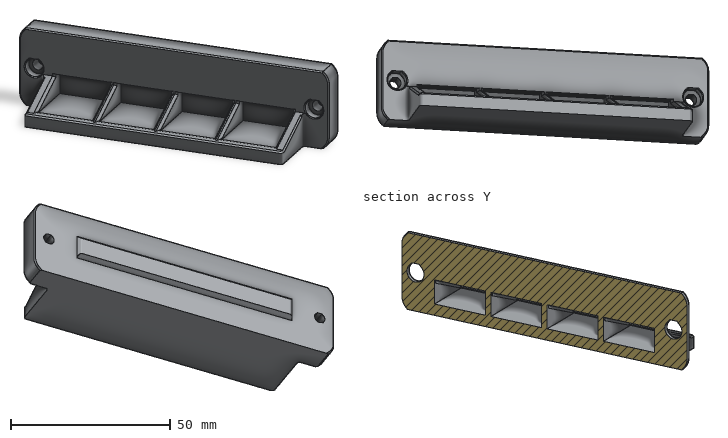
import cadquery as cq
import math


LENGTH = 104.8
HEIGHT = 26.0
PLATE_DEPTH = 8.0
CORNER_RADIUS = 5.0
CORNER_FLAT = 0.6
PLATE_CHAMFER = 0.4

BOSS_DEPTH = 1.3
BOSS_HALF_LENGTH = 37.5
BOSS_HALF_HEIGHT = 4.2

SHELF_DEPTH = 17.5
SHELF_HALF_LENGTH = 43.7
RIM_HEIGHT = 4.3
SLOPE_TOP = 11.2
SLOPE_RUN = 15.7
SHELF_RADIUS = 1.0
SHELF_CHAMFER = 0.5

POCKET_COUNT = 4
DIVIDER = 2.2
SIDE_WALL = 3.5
RIM_WIDTH = 3.0
POCKET_FLOOR = 4.0
POCKET_TOP = 11.9
POCKET_UNDERCUT = 4.0
MOUTH_CHAMFER = 0.8

SCREW_SPACING = 94.6
SCREW_RADIUS = 1.8
HEAD_RADIUS = 3.0
HEAD_DEPTH = 3.1
HEAD_CHAMFER = 0.3
CHAMFER_ANGLE = 45

MID_HEIGHT = HEIGHT / 2
SLOPE_ANGLE = math.atan2(SLOPE_TOP - RIM_HEIGHT, SLOPE_RUN)
POCKET_SPAN = 2 * (SHELF_HALF_LENGTH - SIDE_WALL)
POCKET_WIDTH = (POCKET_SPAN - (POCKET_COUNT - 1) * DIVIDER) / POCKET_COUNT
POCKET_PITCH = POCKET_WIDTH + DIVIDER
POCKET_CENTERS = [(i - (POCKET_COUNT - 1) / 2) * POCKET_PITCH for i in range(POCKET_COUNT)]
DIAGONAL = math.sqrt(0.5)
HALF_ARC = math.pi / 8
MARGIN = 0.01


def box(x_range, y_range, z_range):
    """Axis-aligned block between the given limits."""
    (x0, x1), (y0, y1), (z0, z1) = x_range, y_range, z_range
    return cq.Workplane("XY").box(x1 - x0, y1 - y0, z1 - z0, centered=False).translate((x0, y0, z0))


def make_plate():
    """Plate with corners of a 45 degree arc and a short flat, chamfered all round but the bottom."""
    half = LENGTH / 2
    arc_in = CORNER_RADIUS * (1 - DIAGONAL)
    arc_rise = CORNER_RADIUS * DIAGONAL
    mid_in = CORNER_RADIUS * (1 - math.cos(HALF_ARC))
    mid_rise = CORNER_RADIUS * math.sin(HALF_ARC)
    arc_start = CORNER_FLAT + arc_rise
    lower_right = (
        cq.Workplane("XZ")
        .moveTo(0, 0)
        .lineTo(half - arc_in - CORNER_FLAT, 0)
        .lineTo(half - arc_in, CORNER_FLAT)
        .threePointArc((half - mid_in, arc_start - mid_rise), (half, arc_start))
        .lineTo(half, MID_HEIGHT)
        .lineTo(0, MID_HEIGHT)
        .close()
        .extrude(-PLATE_DEPTH)
    )
    right = lower_right.union(lower_right.mirror("XY", (0, 0, MID_HEIGHT)))
    plate = right.union(right.mirror("YZ")).clean()
    above_bottom = cq.selectors.BoxSelector(
        (-LENGTH, -MARGIN, MARGIN), (LENGTH, PLATE_DEPTH + MARGIN, 2 * HEIGHT)
    )
    return plate.faces("<Y or >Y").edges(above_bottom).chamfer(PLATE_CHAMFER)


def make_boss():
    """Raised bar with 45 degree long sides and ends rounded over a quarter turn."""
    back = PLATE_DEPTH + BOSS_DEPTH
    plan = box((-BOSS_HALF_LENGTH, BOSS_HALF_LENGTH), (PLATE_DEPTH / 2, back), (0, HEIGHT))
    plan = plan.edges("|Z and >Y").fillet(BOSS_DEPTH)
    tip = BOSS_HALF_HEIGHT - BOSS_DEPTH
    section = (
        cq.Workplane("YZ")
        .moveTo(PLATE_DEPTH / 2, MID_HEIGHT - BOSS_HALF_HEIGHT)
        .lineTo(PLATE_DEPTH, MID_HEIGHT - BOSS_HALF_HEIGHT)
        .lineTo(back, MID_HEIGHT - tip)
        .lineTo(back, MID_HEIGHT + tip)
        .lineTo(PLATE_DEPTH, MID_HEIGHT + BOSS_HALF_HEIGHT)
        .lineTo(PLATE_DEPTH / 2, MID_HEIGHT + BOSS_HALF_HEIGHT)
        .close()
        .extrude(LENGTH / 2, both=True)
    )
    return plan.intersect(section)


def shelf_profile(half_length):
    """Side outline of the shelf swept over the given half length."""
    inside = PLATE_DEPTH / 2
    return (
        cq.Workplane("YZ")
        .moveTo(inside, 0)
        .lineTo(-SHELF_DEPTH, 0)
        .lineTo(-SHELF_DEPTH, RIM_HEIGHT)
        .lineTo(-SLOPE_RUN, RIM_HEIGHT)
        .lineTo(0, SLOPE_TOP)
        .lineTo(inside, SLOPE_TOP)
        .close()
        .extrude(half_length, both=True)
    )


def make_shelf():
    """Wedge with rounded front corners and a chamfered outer top edge."""
    shelf = shelf_profile(SHELF_HALF_LENGTH)
    shelf = shelf.edges("|Z and <Y").fillet(SHELF_RADIUS)
    rim_face = cq.selectors.BoxSelector(
        (-LENGTH, -2 * SHELF_DEPTH, RIM_HEIGHT - MARGIN), (LENGTH, -SLOPE_RUN - MARGIN, RIM_HEIGHT + MARGIN)
    )
    slope_ends = cq.selectors.BoxSelector(
        (-LENGTH, -SLOPE_RUN, RIM_HEIGHT + MARGIN), (LENGTH, -MARGIN, SLOPE_TOP)
    )
    return shelf.edges(rim_face + slope_ends).chamfer(SHELF_CHAMFER)


def make_blend():
    """Concave fillets between the shelf's ends and the plate."""
    reach = SHELF_HALF_LENGTH + SHELF_RADIUS
    blend = box((-reach, reach), (-SHELF_RADIUS, PLATE_DEPTH / 2), (0, HEIGHT))
    for side in (-1, 1):
        blend = blend.cut(
            cq.Workplane("XY").center(side * reach, -SHELF_RADIUS).circle(SHELF_RADIUS).extrude(HEIGHT)
        )
    return blend.intersect(shelf_profile(reach))


def flare_outline(plane):
    """Opening of one pocket on the plane, reaching out along +Y and narrowing at 45 degrees along -Y."""
    inner = POCKET_WIDTH / 2
    outer = inner + MOUTH_CHAMFER
    points = (
        (-inner, -MOUTH_CHAMFER),
        (inner, -MOUTH_CHAMFER),
        (outer, 0),
        (outer, SHELF_DEPTH),
        (-outer, SHELF_DEPTH),
        (-outer, 0),
    )
    return cq.Workplane(plane).polyline(points).close()


def pocket_mouth(center):
    """Chamfer of both sides of one pocket, mitred where the slope meets the plate's front face."""
    down_slope = (0, -math.cos(SLOPE_ANGLE), -math.sin(SLOPE_ANGLE))
    slope_plane = cq.Plane((center, 0, SLOPE_TOP), (1, 0, 0), down_slope)
    plate_plane = cq.Plane((center, 0, RIM_HEIGHT), (-1, 0, 0), (0, 0, 1))
    along_slope = flare_outline(slope_plane).extrude(SHELF_DEPTH, both=True)
    up_plate = flare_outline(plate_plane).extrude(POCKET_TOP - RIM_HEIGHT)
    return along_slope.intersect(up_plate)


def make_pocket(center):
    """Flat-floored pocket that undercuts the plate, with chamfered sides at its mouth."""
    cavity = box(
        (center - POCKET_WIDTH / 2, center + POCKET_WIDTH / 2),
        (RIM_WIDTH - SHELF_DEPTH, POCKET_UNDERCUT),
        (POCKET_FLOOR, POCKET_TOP),
    )
    return cavity.union(pocket_mouth(center))


def teardrop(x, radius):
    """Circle drawn on the front face of the plate, with 45 degree tangents meeting in a point above it."""
    offset = radius * DIAGONAL
    return (
        cq.Workplane("XZ", origin=(x, 0, MID_HEIGHT))
        .moveTo(-offset, offset)
        .threePointArc((0, -radius), (offset, offset))
        .lineTo(0, 2 * offset)
        .close()
    )


def make_screw_hole(x):
    """Through hole and chamfered head recess, both flat at the top of their circles."""

    def flat_topped(solid, radius):
        return solid.intersect(box((-LENGTH, LENGTH), (0, PLATE_DEPTH), (0, MID_HEIGHT + radius)))

    through = flat_topped(teardrop(x, SCREW_RADIUS).extrude(-PLATE_DEPTH), SCREW_RADIUS)
    head = teardrop(x, HEAD_RADIUS).extrude(-HEAD_DEPTH)
    flare = teardrop(x, HEAD_RADIUS + HEAD_CHAMFER).extrude(-HEAD_CHAMFER, taper=CHAMFER_ANGLE)
    return through.union(flat_topped(head.union(flare), HEAD_RADIUS))


result = make_plate().union(make_boss()).union(make_shelf()).union(make_blend())
for pocket_x in POCKET_CENTERS:
    result = result.cut(make_pocket(pocket_x))
for hole_x in (-SCREW_SPACING / 2, SCREW_SPACING / 2):
    result = result.cut(make_screw_hole(hole_x))